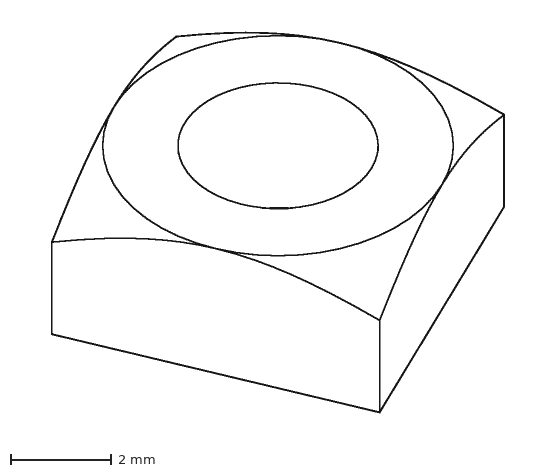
import cadquery as cq
import math

width = 7.0
height = 3.2
hole_diameter = 4.0
chamfer_angle = 30.0

top_radius = width / 2
chamfer_slope = math.tan(math.radians(chamfer_angle))
envelope_radius = width
envelope_edge_height = height - (envelope_radius - top_radius) * chamfer_slope


def square_block():
    return cq.Workplane("XY").rect(width, width).extrude(height)


def chamfer_envelope():
    """Round body, larger than the block, whose conical top trims the corners."""
    return (
        cq.Workplane("XZ")
        .moveTo(0, 0)
        .lineTo(envelope_radius, 0)
        .lineTo(envelope_radius, envelope_edge_height)
        .lineTo(top_radius, height)
        .lineTo(0, height)
        .close()
        .revolve(360, (0, 0, 0), (0, 1, 0))
    )


def through_hole():
    return cq.Workplane("XY").circle(hole_diameter / 2).extrude(height)


result = square_block().intersect(chamfer_envelope()).cut(through_hole())